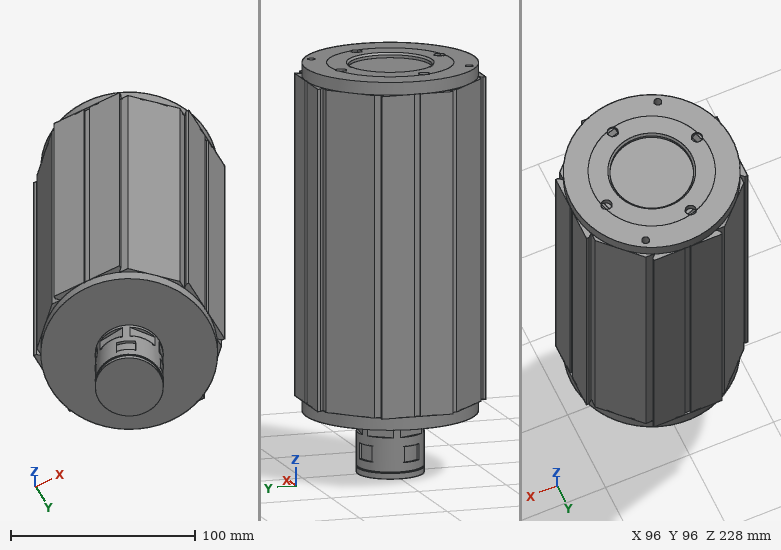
import cadquery as cq

total_height = 228.0
flange_thickness = 7.0
connector_height = 34.2
housing_bottom = connector_height + flange_thickness
housing_top = total_height - flange_thickness
housing_height = housing_top - housing_bottom

outer_diameter = 96.0
outer_radius = outer_diameter / 2
core_half_width = 44.2
core_flat_half_length = 23.5
rail_count = 4
rail_half_width = 20.3
rail_lip_thickness = 1.5
rail_undercut = 2.0
groove_width = 3.5
groove_depth = 1.1

seat_diameter = 69.0
ring_thickness = 3.5
ring_rim_thickness = 1.1
taper_top_diameter = 68.0
taper_bottom_diameter = 63.4
window_bore_diameter = 45.4
window_chamfer = 1.1
window_depth = 2.7
glass_diameter = 52.0
glass_thickness = 2.3
spanner_hole_diameter = 6.0
spanner_hole_circle_radius = 32.4
spanner_hole_angle = 16.5
spanner_hole_count = 4
mount_hole_diameter = 4.0
mount_hole_circle_radius = 43.5
mount_hole_angle = 61.4
mount_hole_count = 2

connector_diameter = 37.0
connector_radius = connector_diameter / 2
seam_step_diameter = 36.0
seam_step_height = 0.7
end_cap_height = 3.2
wrench_flat_count = 6
wrench_flat_distance = 16.9
wrench_flat_bottom = 23.0
wrench_flat_height = 9.0
wrench_flat_angle = 23.7
key_pocket_count = 4
key_pocket_width = 10.5
key_pocket_floor_diameter = 34.2
key_pocket_bottom = 9.0
key_pocket_height = 9.0
key_pocket_angle = 23.0


def disc(diameter, height, bottom):
    return cq.Workplane("XY").workplane(offset=bottom).circle(diameter / 2).extrude(height)


def spread(shape, count, first_angle):
    """Copies of a shape, evenly spaced around the Z axis."""
    copies = cq.Workplane("XY")
    for i in range(count):
        copies = copies.add(shape.rotate((0, 0, 0), (0, 0, 1), first_angle + i * 360 / count))
    return copies.combine()


def hole_circle(diameter, circle_radius, count, first_angle, bottom, height):
    hole = disc(diameter, height, bottom).translate((circle_radius, 0, 0))
    return spread(hole, count, first_angle)


def make_housing():
    a = core_half_width
    b = core_flat_half_length
    corners = [(a, -b), (a, b), (b, a), (-b, a), (-a, b), (-a, -b), (-b, -a), (b, -a)]
    base = cq.Workplane("XY").workplane(offset=housing_bottom)
    core = base.polyline(corners).close().extrude(housing_height)

    root_half_width = rail_half_width - rail_undercut
    lip_x = outer_radius - rail_lip_thickness
    rail_outline = [
        (0, -root_half_width),
        (core_half_width, -root_half_width),
        (lip_x, -rail_half_width),
        (outer_radius, -rail_half_width),
        (outer_radius, rail_half_width),
        (lip_x, rail_half_width),
        (core_half_width, root_half_width),
        (0, root_half_width),
    ]
    rail = base.polyline(rail_outline).close().extrude(housing_height)

    groove = base.center(outer_radius, 0).rect(2 * groove_depth, groove_width).extrude(housing_height)
    return core.union(spread(rail, rail_count, 0)).cut(spread(groove, rail_count, 0))


def ring_blank():
    """Retaining ring envelope: a thin cylindrical rim above a tapered body."""
    rim = disc(seat_diameter, ring_rim_thickness, total_height - ring_rim_thickness)
    taper = (
        cq.Workplane("XY")
        .workplane(offset=total_height - ring_thickness)
        .circle(taper_bottom_diameter / 2)
        .workplane(offset=ring_thickness - ring_rim_thickness)
        .circle(taper_top_diameter / 2)
        .loft()
    )
    return rim.union(taper)


def spanner_holes(depth):
    return hole_circle(
        spanner_hole_diameter, spanner_hole_circle_radius, spanner_hole_count, spanner_hole_angle,
        total_height - depth, depth,
    )


def make_top_flange():
    mount_holes = hole_circle(
        mount_hole_diameter, mount_hole_circle_radius, mount_hole_count, mount_hole_angle,
        housing_top, flange_thickness,
    )
    flange = disc(outer_diameter, flange_thickness, housing_top)
    flange = flange.cut(ring_blank()).cut(make_window_glass()).cut(mount_holes)
    return flange.cut(spanner_holes(ring_rim_thickness))


def make_retaining_ring():
    ring = ring_blank().cut(disc(window_bore_diameter, ring_thickness, total_height - ring_thickness))
    ring = ring.faces(">Z").edges(cq.selectors.RadiusNthSelector(0)).chamfer(window_chamfer)
    return ring.cut(make_window_glass()).cut(spanner_holes(ring_thickness))


def make_window_glass():
    return disc(glass_diameter, glass_thickness, total_height - window_depth - glass_thickness)


def make_bottom_flange():
    return disc(outer_diameter, flange_thickness, connector_height)


def make_connector():
    body = disc(connector_diameter, connector_height - end_cap_height, end_cap_height)

    flat_cutter = cq.Workplane("XY").box(
        connector_radius, connector_diameter, wrench_flat_height, centered=(False, True, False)
    ).translate((wrench_flat_distance, 0, wrench_flat_bottom))
    body = body.cut(spread(flat_cutter, wrench_flat_count, wrench_flat_angle))

    pocket = cq.Workplane("XY").box(
        connector_diameter, key_pocket_width, key_pocket_height, centered=(False, True, False)
    ).translate((0, 0, key_pocket_bottom))
    pocket = pocket.cut(disc(key_pocket_floor_diameter, key_pocket_height, key_pocket_bottom))
    body = body.cut(spread(pocket, key_pocket_count, key_pocket_angle))

    seam_groove = disc(connector_diameter, seam_step_height, end_cap_height).cut(
        disc(seam_step_diameter, seam_step_height, end_cap_height)
    )
    return body.cut(seam_groove)


def make_end_cap():
    return disc(connector_diameter, end_cap_height, 0)


housing = make_housing()
top_flange = make_top_flange()
retaining_ring = make_retaining_ring()
window_glass = make_window_glass()
bottom_flange = make_bottom_flange()
connector = make_connector()
end_cap = make_end_cap()

result = cq.Compound.makeCompound([
    housing.val(),
    top_flange.val(),
    retaining_ring.val(),
    window_glass.val(),
    bottom_flange.val(),
    connector.val(),
    end_cap.val(),
])